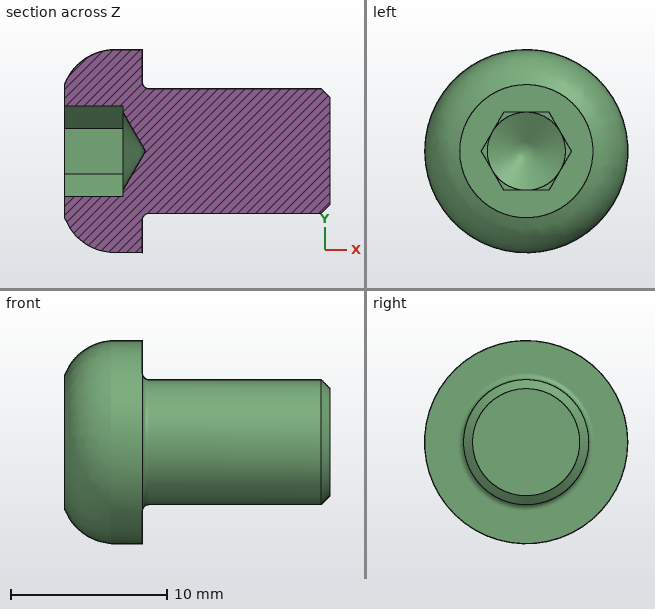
import cadquery as cq
import math

total_length = 17.0
head_diameter = 13.0
head_length = 5.0
dome_length = 3.01
face_diameter = 8.52
dome_bulge = 0.55
shank_diameter = 8.0
neck_fillet = 0.4
tip_chamfer = 0.58
socket_across_flats = 5.0
socket_depth = 3.74
socket_cone_angle = 120.0

head_radius = head_diameter / 2
face_radius = face_diameter / 2
shank_radius = shank_diameter / 2


def make_body():
    """Revolve the half outline of head and shank around the X axis."""
    chord = math.hypot(dome_length, head_radius - face_radius)
    normal_x = -(head_radius - face_radius) / chord
    normal_y = dome_length / chord
    dome_middle = (
        dome_length / 2 + dome_bulge * normal_x,
        (face_radius + head_radius) / 2 + dome_bulge * normal_y,
    )
    fillet_offset = neck_fillet * (1 - math.sqrt(0.5))
    fillet_middle = (head_length + fillet_offset, shank_radius + fillet_offset)
    outline = (
        cq.Workplane("XY")
        .lineTo(0, face_radius)
        .threePointArc(dome_middle, (dome_length, head_radius))
        .lineTo(head_length, head_radius)
        .lineTo(head_length, shank_radius + neck_fillet)
        .threePointArc(fillet_middle, (head_length + neck_fillet, shank_radius))
        .lineTo(total_length - tip_chamfer, shank_radius)
        .lineTo(total_length, shank_radius - tip_chamfer)
        .lineTo(total_length, 0)
        .close()
    )
    return outline.revolve(360, (0, 0, 0), (1, 0, 0))


def make_socket():
    """Hexagonal socket with corners on +-Y, ending in a conical bottom."""
    across_corners = socket_across_flats / math.cos(math.pi / 6)
    hexagon = cq.Workplane("YZ").polygon(6, across_corners).extrude(socket_depth)
    cone_radius = socket_across_flats / 2
    cone_height = cone_radius / math.tan(math.radians(socket_cone_angle / 2))
    cone = (
        cq.Workplane("XY")
        .moveTo(socket_depth, 0)
        .lineTo(socket_depth, cone_radius)
        .lineTo(socket_depth + cone_height, 0)
        .close()
        .revolve(360, (0, 0, 0), (1, 0, 0))
    )
    return hexagon.union(cone)


result = make_body().cut(make_socket())